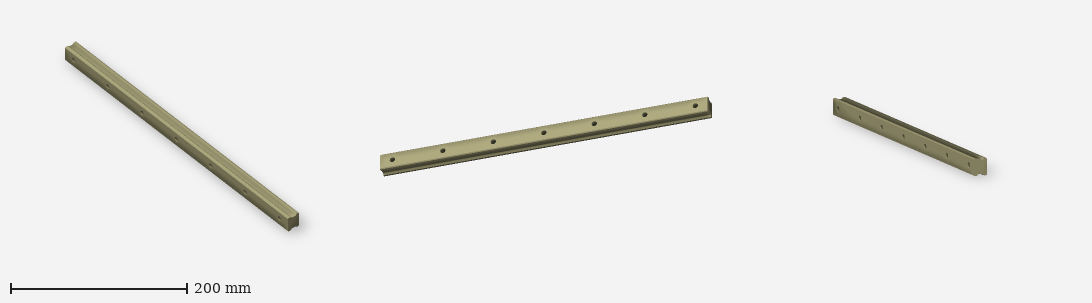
import cadquery as cq
import math

length = 390.0
thickness = 16.5
height = 20.0
half_height = height / 2
base_face = -thickness / 2
head_face = thickness / 2

groove_depth = 2.0
groove_floor = half_height - groove_depth
base_shoulder = -4.3
head_shoulder = 5.0
groove_fillet = 1.0

base_chamfer = 0.98
crown_start = 5.5
crown_radius = 6.2

hole_diameter = 6.2
hole_count = 7
hole_pitch = 60.0


def arc_point(start_y, start_z, radius, angle, side):
    """Point on an arc leaving a level line toward +Y; side is 1 to rise, -1 to drop."""
    y = start_y + radius * math.sin(angle)
    z = start_z + side * radius * (1 - math.cos(angle))
    return y, z


def make_upper_half():
    """Half of the section above the centre plane."""
    flank_angle = math.radians(45)
    fillet_start = head_shoulder - groove_depth - groove_fillet * math.tan(flank_angle / 2)
    fillet_middle = arc_point(fillet_start, groove_floor, groove_fillet, flank_angle / 2, 1)
    fillet_end = arc_point(fillet_start, groove_floor, groove_fillet, flank_angle, 1)

    crown_angle = math.asin((head_face - crown_start) / crown_radius)
    crown_middle = arc_point(crown_start, half_height, crown_radius, crown_angle / 2, -1)
    crown_end = arc_point(crown_start, half_height, crown_radius, crown_angle, -1)

    return (
        cq.Workplane("YZ")
        .moveTo(base_face, 0)
        .lineTo(base_face, half_height - base_chamfer)
        .lineTo(base_face + base_chamfer, half_height)
        .lineTo(base_shoulder, half_height)
        .lineTo(base_shoulder + groove_depth, groove_floor)
        .lineTo(fillet_start, groove_floor)
        .threePointArc(fillet_middle, fillet_end)
        .lineTo(head_shoulder, half_height)
        .lineTo(crown_start, half_height)
        .threePointArc(crown_middle, crown_end)
        .lineTo(head_face, 0)
        .close()
        .extrude(length / 2, both=True)
    )


def make_holes():
    """Row of evenly spaced through holes, centred along the rail."""
    return (
        cq.Workplane("XZ")
        .rarray(hole_pitch, 4, hole_count, 1)
        .circle(hole_diameter / 2)
        .extrude(thickness, both=True)
    )


upper_half = make_upper_half()
rail = upper_half.union(upper_half.mirror("XY")).clean()
result = rail.cut(make_holes())